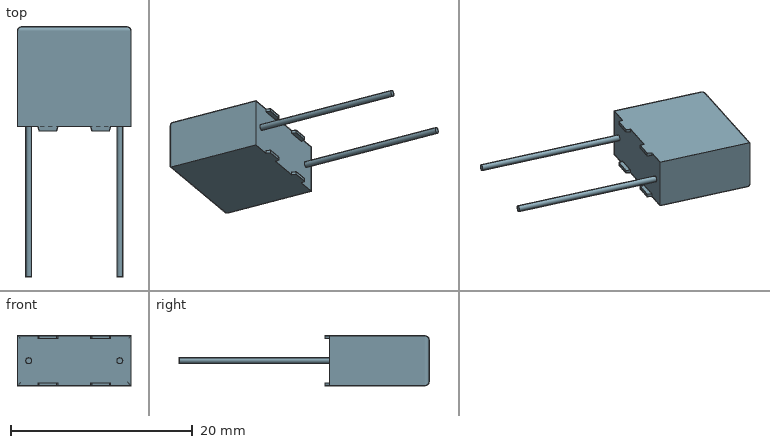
import cadquery as cq

case_width = 12.5
case_depth = 11.0
case_height = 5.5
back_edge_radius = 0.5

tab_root_width = 2.2
tab_tip_width = 1.92
tab_length = 0.5
tab_thickness = 0.33
tab_spacing = 5.8

total_length = 27.5
lead_length = total_length - case_depth
lead_diameter = 0.65
lead_spacing = 10.0


def make_tab(center_x, bottom_z):
    """Trapezoidal tab, narrowing away from the terminal face."""
    return (
        cq.Workplane("XY", origin=(center_x, 0, bottom_z))
        .moveTo(-tab_root_width / 2, 0)
        .lineTo(-tab_tip_width / 2, -tab_length)
        .lineTo(tab_tip_width / 2, -tab_length)
        .lineTo(tab_root_width / 2, 0)
        .close()
        .extrude(tab_thickness)
    )


def make_case():
    """Box with a rounded back rim and four tabs flush with its top and bottom."""
    case = (
        cq.Workplane("XY")
        .box(case_width, case_depth, case_height, centered=(True, False, True))
        .faces(">Y")
        .edges()
        .fillet(back_edge_radius)
    )
    lower_tab_z = -case_height / 2
    upper_tab_z = case_height / 2 - tab_thickness
    for center_x in (-tab_spacing / 2, tab_spacing / 2):
        for bottom_z in (lower_tab_z, upper_tab_z):
            case = case.union(make_tab(center_x, bottom_z))
    return case


def make_lead(center_x):
    """Straight round wire running from the terminal face toward -Y."""
    return (
        cq.Workplane("XZ", origin=(center_x, 0, 0))
        .circle(lead_diameter / 2)
        .extrude(lead_length)
    )


case = make_case()
leads = [make_lead(center_x) for center_x in (-lead_spacing / 2, lead_spacing / 2)]

result = cq.Compound.makeCompound([case.val(), *[lead.val() for lead in leads]])